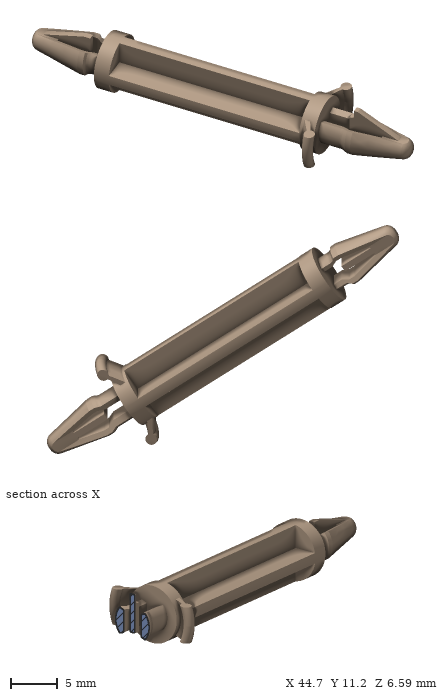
import cadquery as cq
import math

OVERALL_LENGTH = 44.74
POST_LENGTH = 26.0
POST_DIAMETER = 6.5
DISC_THICKNESS = 1.75
RIB_THICKNESS = 1.2

LEFT_PEG_LENGTH = 8.65
RIGHT_PEG_LENGTH = OVERALL_LENGTH - POST_LENGTH - LEFT_PEG_LENGTH
NOSE_FILLET = 1.0
SHANK_RADIUS = 2.0
NECK_RISE = 0.13
BULGE_START = 6.25
BULGE_END = 6.9
CREASE_HALF_WIDTH = 0.6
FLANK_ANGLE = 22.5
FLAT_HEIGHT = 1.05
FIN_THICKNESS = 0.7

WING_OUTER_RADIUS = 5.59
WING_HEIGHT = 4.1
BEAD_RADIUS = 0.6
BEAD_OFFSET = 0.09
ARM_ROOT_NEAR = 0.92
ARM_ROOT_FAR = 1.6
ARM_TIP_HALF_WIDTH = 0.22
ARM_ROOT_RADIUS = 3.0


def x_cylinder(start, length, radius):
    """Solid cylinder about the X axis."""
    return cq.Workplane("YZ").workplane(offset=start).circle(radius).extrude(length)


def make_post():
    """Crossed ribs trimmed to the post diameter, closed by a disc at each end."""
    radius = POST_DIAMETER / 2
    ribs = (
        cq.Workplane("YZ")
        .rect(POST_DIAMETER, RIB_THICKNESS)
        .extrude(POST_LENGTH)
        .union(cq.Workplane("YZ").rect(RIB_THICKNESS, POST_DIAMETER).extrude(POST_LENGTH))
        .intersect(x_cylinder(0, POST_LENGTH, radius))
    )
    left_disc = x_cylinder(0, DISC_THICKNESS, radius)
    right_disc = x_cylinder(POST_LENGTH - DISC_THICKNESS, DISC_THICKNESS, radius)
    return ribs.union(left_disc).union(right_disc)


def make_peg_body(length, nose_radius, bulge_radius, neck_start, shank_start):
    """Revolved peg: nose at X = 0, cone, bulge, back slope, concave neck and straight shank."""
    return (
        cq.Workplane("XY")
        .moveTo(length, 0)
        .lineTo(length, SHANK_RADIUS)
        .lineTo(shank_start, SHANK_RADIUS)
        .tangentArcPoint((neck_start, SHANK_RADIUS + NECK_RISE), relative=False)
        .lineTo(BULGE_END, bulge_radius)
        .lineTo(BULGE_START, bulge_radius)
        .lineTo(0, nose_radius)
        .lineTo(0, 0)
        .close()
        .revolve(360, (0, 0, 0), (1, 0, 0))
        .faces("<X")
        .edges()
        .fillet(NOSE_FILLET)
    )


def make_bow_tie(length, bulge_radius):
    """Bar whose top and bottom are flat in the middle and rise towards both sides."""
    rise = (bulge_radius - CREASE_HALF_WIDTH) * math.tan(math.radians(FLANK_ANGLE))
    side_height = FLAT_HEIGHT + rise
    return (
        cq.Workplane("YZ")
        .polyline([
            (-bulge_radius, side_height),
            (-CREASE_HALF_WIDTH, FLAT_HEIGHT),
            (CREASE_HALF_WIDTH, FLAT_HEIGHT),
            (bulge_radius, side_height),
            (bulge_radius, -side_height),
            (CREASE_HALF_WIDTH, -FLAT_HEIGHT),
            (-CREASE_HALF_WIDTH, -FLAT_HEIGHT),
            (-bulge_radius, -side_height),
        ])
        .close()
        .extrude(length)
    )


def make_slot(length, nose_radius, bulge_radius, slot_start, shank_start, cone_wall, shank_wall):
    """Vertical slot that follows the outside of the peg and parts it into two legs."""
    cone_slope = (bulge_radius - nose_radius) / BULGE_START
    start_half_width = nose_radius + cone_slope * slot_start - cone_wall
    bulge_half_width = bulge_radius - cone_wall
    shank_half_width = SHANK_RADIUS - shank_wall
    side = [
        (slot_start, start_half_width),
        (BULGE_START, bulge_half_width),
        (BULGE_END, bulge_half_width),
        (shank_start, shank_half_width),
        (length, shank_half_width),
    ]
    opposite_side = [(x, -y) for x, y in reversed(side)]
    return (
        cq.Workplane("XY")
        .polyline(side + opposite_side)
        .close()
        .extrude(bulge_radius, both=True)
    )


def make_fin(top_outline):
    """Thin central blade standing on the lower flat, under the given (X, Z) outline."""
    front_x = top_outline[0][0]
    back_x = top_outline[-1][0]
    outline = [(front_x, -FLAT_HEIGHT)] + top_outline + [(back_x, -FLAT_HEIGHT)]
    return cq.Workplane("XZ").polyline(outline).close().extrude(FIN_THICKNESS / 2, both=True)


def make_peg(
    length,
    nose_radius,
    bulge_radius,
    neck_start,
    shank_start,
    slot_start,
    cone_wall,
    shank_wall,
    fin_outline,
):
    """Complete peg with its nose at X = 0, pointing towards -X."""
    body = make_peg_body(length, nose_radius, bulge_radius, neck_start, shank_start)
    slot = make_slot(
        length, nose_radius, bulge_radius, slot_start, shank_start, cone_wall, shank_wall
    )
    return body.intersect(make_bow_tie(length, bulge_radius)).cut(slot).union(make_fin(fin_outline))


def make_left_peg():
    """Short peg on the left disc, with a low fin."""
    peg = make_peg(
        length=LEFT_PEG_LENGTH,
        nose_radius=1.08,
        bulge_radius=2.38,
        neck_start=7.12,
        shank_start=7.6,
        slot_start=3.06,
        cone_wall=1.1,
        shank_wall=1.1,
        fin_outline=[(1.2, FLAT_HEIGHT), (6.05, 2.42), (6.82, 2.42)],
    )
    return peg.translate((-LEFT_PEG_LENGTH, 0, 0))


def make_right_peg():
    """Long peg on the right disc, with a tall fin that is stepped at its back."""
    peg = make_peg(
        length=RIGHT_PEG_LENGTH,
        nose_radius=1.03,
        bulge_radius=2.28,
        neck_start=7.28,
        shank_start=7.72,
        slot_start=3.35,
        cone_wall=1.13,
        shank_wall=1.25,
        fin_outline=[
            (1.47, FLAT_HEIGHT),
            (6.28, 3.34),
            (6.72, 3.34),
            (6.72, 2.45),
            (6.97, 2.3),
            (7.25, 2.3),
        ],
    )
    return peg.mirror("YZ").translate((POST_LENGTH + RIGHT_PEG_LENGTH, 0, 0))


def make_wings():
    """Two opposite wings: an arm and a bead revolved about X, trimmed to the wing height."""
    bead_x = POST_LENGTH + BEAD_OFFSET
    bead_y = WING_OUTER_RADIUS - BEAD_RADIUS
    arm = (
        cq.Workplane("XY")
        .polyline([
            (POST_LENGTH - ARM_ROOT_FAR, ARM_ROOT_RADIUS),
            (POST_LENGTH - ARM_ROOT_NEAR, ARM_ROOT_RADIUS),
            (bead_x + ARM_TIP_HALF_WIDTH, bead_y),
            (bead_x - ARM_TIP_HALF_WIDTH, bead_y),
        ])
        .close()
        .revolve(360, (0, 0, 0), (1, 0, 0))
    )
    bead = (
        cq.Workplane("XY")
        .center(bead_x, bead_y)
        .circle(BEAD_RADIUS)
        .revolve(360, (-bead_x, -bead_y, 0), (1 - bead_x, -bead_y, 0))
    )
    trim = cq.Workplane("XY").box(POST_LENGTH, 2 * POST_DIAMETER, WING_HEIGHT)
    return arm.union(bead).intersect(trim.translate((POST_LENGTH, 0, 0)))


result = make_post().union(make_wings()).union(make_left_peg()).union(make_right_peg())